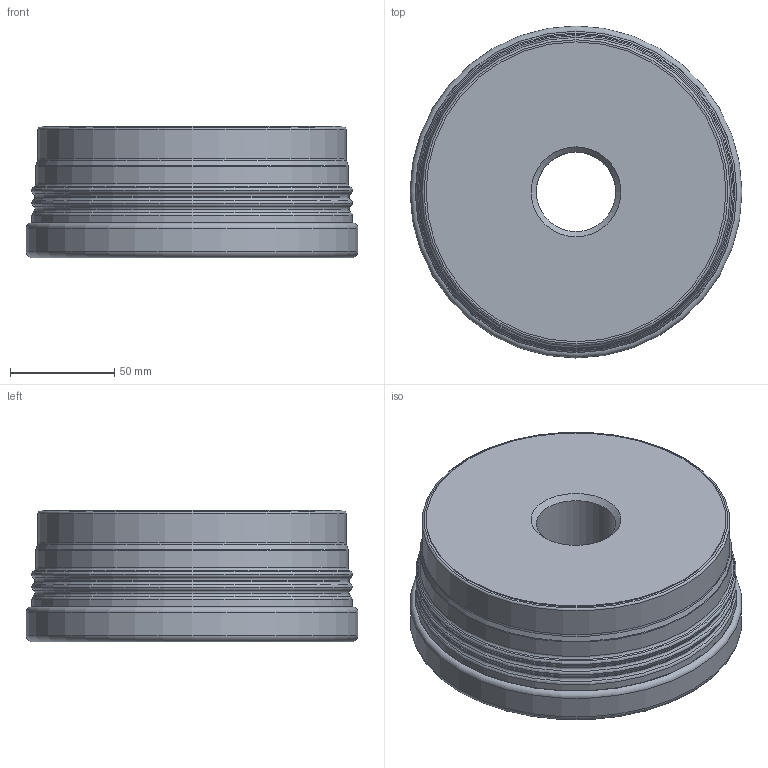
import cadquery as cq
import math

overall_height = 63.03
bore_diameter = 38.11
bore_chamfer = 2.5

foot_diameter = 159.26
foot_height = 16.65
foot_top_round = 2.5
foot_bottom_round = 3.2

core_diameter = 143.83
core_protrusion = 0.5

sleeve_top = overall_height - core_protrusion
upper_diameter = 147.83
middle_diameter = upper_diameter + 2.0
groove_diameter = 150.95
rib_diameter = 153.83
sleeve_rim_round = 1.0

cone_start_height = 47.6
cone_angle = 18.0
cone_upper_blend = 3.0
cone_lower_blend = 1.5

rib_count = 2
first_crest_height = 32.2
rib_round = 1.8
groove_flat = 0.25

core_radius = core_diameter / 2
upper_radius = upper_diameter / 2
middle_radius = middle_diameter / 2
groove_radius = groove_diameter / 2
rib_radius = rib_diameter / 2

rib_depth = rib_radius - groove_radius
rib_flank_angle = math.degrees(math.acos(1 - rib_depth / (2 * rib_round)))
rib_round_height = rib_round * math.sin(math.radians(rib_flank_angle))


def blend_arc(profile, start, radius, from_angle, to_angle):
    """Add a downward arc that turns between two slopes (degrees from the axis) and return its end.

    A growing slope bends the outline outwards (hollow), a shrinking one bends it back (crowned).
    """
    turn = 1 if to_angle > from_angle else -1

    def point_at(angle):
        first = math.radians(from_angle)
        now = math.radians(angle)
        return (
            start[0] + turn * radius * (math.cos(first) - math.cos(now)),
            start[1] - turn * radius * (math.sin(now) - math.sin(first)),
        )

    end = point_at(to_angle)
    return profile.threePointArc(point_at((from_angle + to_angle) / 2), end), end


def stepped_flank(profile, start, end_radius, angle, hollow_round, crown_round):
    """Add a hollow blend, a straight cone and a crowned blend leading out to a larger radius."""
    profile, hollow_end = blend_arc(profile, start, hollow_round, 0, angle)
    slope = math.radians(angle)
    crown_width = crown_round * (1 - math.cos(slope))
    cone_end_radius = end_radius - crown_width
    cone_drop = (cone_end_radius - hollow_end[0]) / math.tan(slope)
    cone_end = (cone_end_radius, hollow_end[1] - cone_drop)
    profile = profile.lineTo(*cone_end)
    return blend_arc(profile, cone_end, crown_round, angle, 0)


def rib_and_groove(profile, crest):
    """Add one wave from a crest through the groove below it to the next crest."""
    profile, flank = blend_arc(profile, crest, rib_round, 0, -rib_flank_angle)
    profile, groove = blend_arc(profile, flank, rib_round, -rib_flank_angle, 0)
    groove_end = (groove[0], groove[1] - groove_flat)
    profile = profile.lineTo(*groove_end)
    profile, flank = blend_arc(profile, groove_end, rib_round, 0, rib_flank_angle)
    return blend_arc(profile, flank, rib_round, rib_flank_angle, 0)


def make_foot():
    foot = cq.Workplane("XY").circle(foot_diameter / 2).extrude(foot_height)
    foot = foot.faces(">Z").edges().fillet(foot_top_round)
    foot = foot.faces("<Z").edges().fillet(foot_bottom_round)
    return foot.faces(">Z").workplane().hole(bore_diameter)


def make_core():
    core = (
        cq.Workplane("XY", origin=(0, 0, foot_height))
        .circle(core_radius)
        .circle(bore_diameter / 2)
        .extrude(overall_height - foot_height)
    )
    return core.faces(">Z").edges(cq.selectors.RadiusNthSelector(0)).chamfer(bore_chamfer)


def make_sleeve():
    rim_start = (upper_radius - sleeve_rim_round, sleeve_top)
    profile = cq.Workplane("XZ").moveTo(core_radius, foot_height)
    profile = profile.lineTo(core_radius, sleeve_top).lineTo(*rim_start)
    profile, _ = blend_arc(profile, rim_start, sleeve_rim_round, 90, 0)

    cone_start = (upper_radius, cone_start_height)
    profile = profile.lineTo(*cone_start)
    profile, _ = stepped_flank(
        profile, cone_start, middle_radius, cone_angle, cone_upper_blend, cone_lower_blend
    )

    straight_flank_width = groove_radius - middle_radius
    straight_flank_height = straight_flank_width / math.tan(math.radians(rib_flank_angle))
    rib_start_height = first_crest_height + 2 * rib_round_height + straight_flank_height
    rib_start = (middle_radius, rib_start_height)
    profile = profile.lineTo(*rib_start)
    profile, crest = stepped_flank(profile, rib_start, rib_radius, rib_flank_angle, rib_round, rib_round)
    for _ in range(rib_count):
        profile, crest = rib_and_groove(profile, crest)

    profile = profile.lineTo(rib_radius, foot_height).close()
    return profile.revolve(360, (0, 0, 0), (0, 1, 0))


foot = make_foot()
core = make_core()
sleeve = make_sleeve()

result = cq.Compound.makeCompound([foot.val(), core.val(), sleeve.val()])